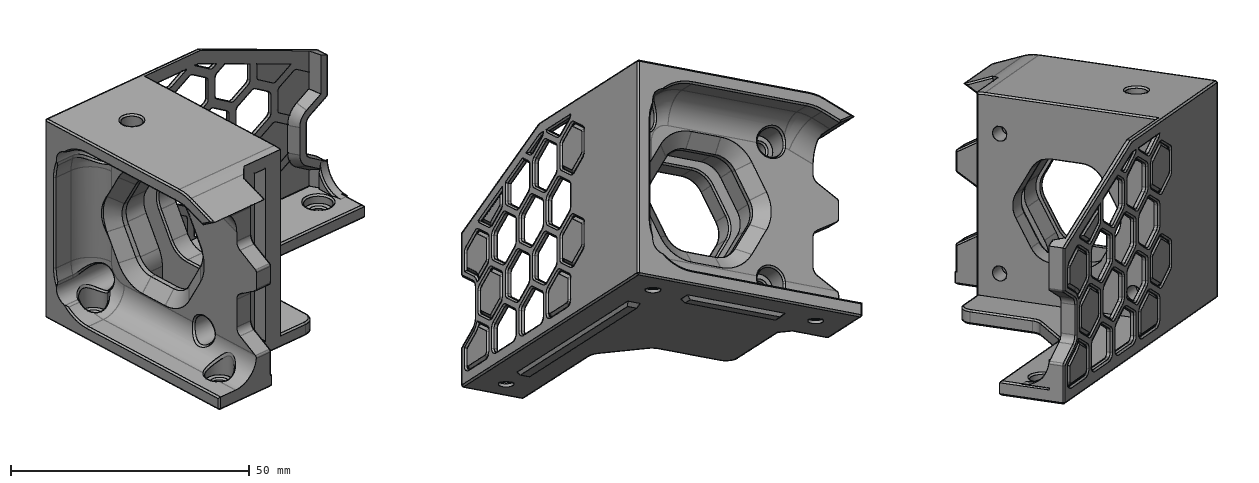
import cadquery as cq
import math

length_y = 77.8
width_x = 53.8
height = 48.15
edge_chamfer = 0.4

panel_thickness = 1.2
wall = 3.1
floor_thickness = 3.2
box_depth = 28.0

tooth_plate_back = 15.0
box_right = 43.0
floor_back = 37.8
leg_width = 15.0
plan_step = 2.1
plan_fillet = 3.0

pitch = 12.0
row_pitch = pitch * math.sqrt(3) / 2
hex_across_flats = 9.95
hex_corner_radius = 1.0
lowest_row_z = 6.5
row_z = [lowest_row_z + row * row_pitch for row in range(5)]
first_column_y = 28.9
column_y = [first_column_y + step * pitch / 2 for step in range(8)]
web = 3.0
notch_web = 1.6
insert_chamfer = 0.7
open_cells = [(0, 3), (0, 5), (1, 2), (1, 4), (2, 1), (2, 3), (2, 5), (3, 2), (3, 4), (4, 1), (4, 3)]
filled_cells = [(0, 1), (0, 7), (1, 0), (1, 6), (2, 7), (3, 0), (3, 6)]

notch_angle = math.radians(30)
notch_depth = 6.1
notch_half_height = 4.5
notch_mouth = notch_half_height + notch_depth * math.tan(notch_angle)
notch_fillet = 2.0
tooth_fillet = 0.6
lower_notch_z = row_z[1]
upper_notch_z = row_z[3]

cover_bend_x = 43.0
cover_bend_radius = 9.95
cover_tip_x = 52.0
cover_tip_z = 44.65
panel_bend_y = 43.65
panel_end_z = 34.7

pocket_depth = 10.65
pocket_corner_radius = 9.95
cove_radius = 6.0
pocket_top = height - wall

opening_x = 22.2
opening_z = 24.1
opening_apothem = 11.5
opening_corner_radius = 5.45
opening_taper = 3.1
opening_taper_depth = 2.5

lip_thickness = 1.2
recess_apothem = 12.3
recess_back = 20.2
chute_half_width = 7.6
chute_fillet = 7.8
slot_back = 23.35

screw_hole = 3.3
head_hole = 6.2
plate_hole_spacing = 31.0
plate_head_seat = 15.55
floor_head_seat = 1.1
floor_hole_inset = 7.5
front_hole_y = 7.0
rear_hole_y = 71.6
floor_holes = [
    (floor_hole_inset, front_hole_y),
    (width_x - floor_hole_inset, front_hole_y),
    (floor_hole_inset, rear_hole_y),
]
insert_hole = 4.7
insert_hole_depth = 6.2
insert_hole_x = 12.9
insert_hole_y = 13.0

rim_reach = 3.6
rim_width = 1.9
rim_draft = 27.0
end_cove_radius = 6.2
end_cove_width = 2.4

rib_height = 0.85
rib_width = 2.95
rib_draft = 0.4
rib_x_start, rib_x_end = 15.2, 38.5
rib_y_start, rib_y_end = 15.3, 64.1

near = 0.1
beyond = 15.55


def notch_points(edge, center_z, offset=0):
    """Corners of one notch in a vertical edge, from the bottom up, widened by an offset."""
    inner = edge - notch_depth - offset
    mouth = notch_mouth + offset / math.cos(notch_angle)
    half_height = mouth - (notch_depth + offset) * math.tan(notch_angle)
    return [
        (edge, center_z - mouth),
        (inner, center_z - half_height),
        (inner, center_z + half_height),
        (edge, center_z + mouth),
    ]


def corner_box(axis, position, z):
    """Selector for the edge along `axis` that passes through a corner."""
    far = 389
    if axis == "Y":
        return cq.selectors.BoxSelector((position - near, -far, z - near), (position + near, far, z + near))
    return cq.selectors.BoxSelector((-far, position - near, z - near), (far, position + near, z + near))


def plan_outline(thickness):
    """Floor outline with its stepped right side."""
    diagonal = (box_right - leg_width) / 3
    points = [
        (0, 0),
        (width_x, 0),
        (width_x, tooth_plate_back),
        (box_right + plan_step, tooth_plate_back),
        (box_right, tooth_plate_back + plan_step),
        (box_right, floor_back),
        (leg_width + diagonal, floor_back),
        (leg_width, floor_back + diagonal),
        (leg_width, length_y),
        (0, length_y),
    ]
    slab = cq.Workplane("XY").polyline(points).close().extrude(thickness)
    for x, y in points[5:8]:
        corner = cq.selectors.BoxSelector((x - near, y - near, -0.8), (x + near, y + near, thickness + 0.8))
        slab = slab.edges(corner).fillet(plan_fillet)
    return slab


def front_block():
    """Box at the front end, with notches in its right edge and a cover that bends down."""
    inner_x = width_x - notch_depth
    notch_top_z = cover_tip_z - (cover_tip_x - inner_x) * math.tan(notch_angle)
    notches = notch_points(width_x, lower_notch_z) + notch_points(width_x, upper_notch_z)[:2]
    notches.append((inner_x, notch_top_z))
    points = [(0, 0), (width_x, 0)] + notches
    points += [(cover_tip_x, cover_tip_z), (cover_bend_x, height), (0, height)]
    block = cq.Workplane("XZ").polyline(points).close().extrude(-box_depth)
    for x, z in notches:
        radius = notch_fillet if x == inner_x else tooth_fillet
        block = block.edges(corner_box("Y", x, z)).fillet(radius)
    block = block.edges(corner_box("Y", cover_bend_x, height)).fillet(cover_bend_radius)
    block = block.intersect(plan_outline(height)).faces(">Y").edges().chamfer(edge_chamfer)
    tooth_back = cq.selectors.BoxSelector(
        (box_right + plan_step + near, tooth_plate_back - near, floor_thickness),
        (width_x + 0.8, tooth_plate_back + near, height),
    )
    return block.edges(tooth_back).chamfer(edge_chamfer)


def side_panel():
    """Left wall as thick as the rim, with its notch but without its openings."""
    notch = notch_points(length_y, lower_notch_z)
    points = [(0, 0), (length_y, 0)] + notch
    points += [(length_y, panel_end_z), (panel_bend_y, height), (0, height)]
    panel = cq.Workplane("YZ").polyline(points).close().extrude(rim_reach)
    inner_y = length_y - notch_depth
    for y, z in notch:
        radius = notch_fillet if y == inner_y else tooth_fillet
        panel = panel.edges(corner_box("X", y, z)).fillet(radius)
    return panel


def rim_region():
    """Drafted space that the end rim leaves free inside the panel."""
    edge = length_y - rim_width
    notch = notch_points(length_y, lower_notch_z, rim_width)
    mouth_drop = rim_width * math.tan(notch_angle)
    notch[0] = (edge, notch[0][1] + mouth_drop)
    notch[3] = (edge, notch[3][1] - mouth_drop)
    depth = rim_reach - panel_thickness
    outline = (
        cq.Workplane("YZ", origin=(rim_reach, 0, 0))
        .polyline([(-beyond, -beyond), (edge, -beyond)] + notch + [(edge, height + beyond), (-beyond, height + beyond)])
        .close()
        .extrude(-depth)
    )
    for y, z in notch[1:3]:
        outline = outline.edges(corner_box("X", y, z)).fillet(notch_fillet + rim_width)
    return outline.faces(">X").wires().toPending().workplane(origin=(rim_reach, 0, 0)).extrude(
        -depth, combine=False, taper=rim_draft
    )


def end_cove():
    """Concave strip between the rim and the floor at the far end."""
    corner = cq.Workplane("XZ", origin=(0, length_y, 0)).moveTo(rim_reach, floor_thickness)
    return (
        corner.lineTo(rim_reach + end_cove_radius, floor_thickness)
        .radiusArc((rim_reach, floor_thickness + end_cove_radius), end_cove_radius)
        .close()
        .extrude(end_cove_width)
        .faces("<Y")
        .edges("%CIRCLE")
        .chamfer(edge_chamfer)
    )


def pocket_blank(grow, depth):
    """Prism with the pocket's front outline, open on the right."""
    right = width_x + 7.8
    slope = (height - cover_tip_z) / (cover_tip_x - cover_bend_x)
    left = wall - grow
    bottom = floor_thickness - grow
    top = pocket_top + grow
    bend_x = cover_bend_x - (height - top) * math.tan(math.atan(slope) / 2)
    end_z = top - (right - bend_x) * slope
    return (
        cq.Workplane("XZ")
        .polyline([(left, bottom), (right, bottom), (right, end_z), (bend_x, top), (left, top)])
        .close()
        .extrude(-depth)
        .edges("|Y and <X")
        .fillet(pocket_corner_radius + grow)
        .edges(corner_box("Y", bend_x, top))
        .fillet(cover_bend_radius)
    )


def front_pocket():
    """Pocket with a chamfered opening, coved where its walls meet the front plate."""
    walls = cq.selectors.BoxSelector((-0.8, -0.8, -0.8), (width_x + 7, length_y, height))
    pocket = pocket_blank(0, pocket_depth).faces(">Y").edges(walls).fillet(cove_radius)
    mouth = pocket_blank(edge_chamfer, 2 * edge_chamfer).faces(">Y").edges().chamfer(edge_chamfer)
    return pocket.union(mouth.translate((0, -edge_chamfer, 0)))


def hex_prism(apothem, corner_radius, start_y, end_y):
    """Hexagon with flats above and below, along Y, with rounded corners."""
    return (
        cq.Workplane("XZ", origin=(opening_x, start_y, opening_z))
        .polygon(6, 2 * apothem / math.cos(math.pi / 6))
        .extrude(start_y - end_y)
        .edges("|Y")
        .fillet(corner_radius)
    )


def recess():
    """Hexagon behind the lip that runs down into a chute to the floor."""
    front = pocket_depth + opening_taper_depth + lip_thickness
    half_side = recess_apothem * math.tan(math.pi / 6)
    side_x = 2 * half_side
    chute_top = -(side_x - chute_half_width) * math.tan(math.pi / 3)
    right = [
        (chute_half_width, floor_thickness - opening_z),
        (chute_half_width, chute_top),
        (side_x, 0),
        (half_side, recess_apothem),
    ]
    left = [(-x, z) for x, z in reversed(right)]
    shape = (
        cq.Workplane("XZ", origin=(opening_x, front, opening_z))
        .polyline(right + left)
        .close()
        .extrude(front - recess_back - edge_chamfer)
    )
    for x, z in right[1:] + left[:3]:
        radius = chute_fillet if z == chute_top else opening_corner_radius
        shape = shape.edges(corner_box("Y", opening_x + x, opening_z + z)).fillet(radius)
    return shape


def plate_opening():
    """Tapered hexagon through the front plate, the recess behind it and the rear plate."""
    seat = pocket_depth + opening_taper_depth
    mouth = hex_prism(opening_apothem + opening_taper, opening_corner_radius + opening_taper, wall, seat)
    mouth = mouth.faces(">Y").chamfer(opening_taper_depth, opening_taper)
    through = hex_prism(opening_apothem, opening_corner_radius, pocket_depth, box_depth)
    rear_mouth = hex_prism(
        opening_apothem + edge_chamfer,
        opening_corner_radius + edge_chamfer,
        recess_back,
        slot_back + edge_chamfer,
    )
    rear_mouth = rear_mouth.faces(">Y").edges().chamfer(edge_chamfer)
    return through.union(mouth).union(recess()).union(rear_mouth)


def rear_slot():
    """Slot between the front and rear plates, open on the right."""
    slot = cq.Workplane("XY").box(
        width_x, slot_back - recess_back, pocket_top - floor_thickness, centered=False
    )
    return slot.translate((wall, recess_back, floor_thickness))


def screw_cutter(head_length, hole_length, countersunk):
    """Counterbored hole along Z; the head seat is at z = 0, the head above it."""
    seat = cq.Workplane("XY").circle(head_hole / 2).extrude(head_length)
    cutter = seat.union(cq.Workplane("XY").circle(screw_hole / 2).extrude(-hole_length))
    if countersunk:
        countersink = cq.Workplane("XY").circle(screw_hole / 2 + edge_chamfer)
        cutter = cutter.union(countersink.extrude(-edge_chamfer, taper=45))
    return cutter


def cut_plate_holes(body):
    """Four counterbored holes through both plates, their mouths chamfered."""
    half = plate_hole_spacing / 2
    reach = head_hole / 2 + near
    for x in (opening_x - half, opening_x + half):
        for z in (opening_z - half, opening_z + half):
            countersunk = x > opening_x or z > opening_z
            cutter = screw_cutter(plate_head_seat, box_depth, countersunk).rotate((0, 0, 0), (1, 0, 0), 90)
            body = body.cut(cutter.translate((x, plate_head_seat, z)))
            mouth = cq.selectors.BoxSelector(
                (x - reach, 0.8, z - reach), (x + reach, pocket_depth + near, z + reach), boundingbox=True
            )
            body = body.edges(mouth).chamfer(edge_chamfer)
    return body


def cut_floor_holes(body):
    """Counterbored holes down through the floor, their mouths chamfered."""
    reach = head_hole / 2 + near
    cutter = screw_cutter(pocket_corner_radius, floor_thickness, True)
    for x, y in floor_holes:
        body = body.cut(cutter.translate((x, y, floor_head_seat)))
        mouth = cq.selectors.BoxSelector(
            (x - reach, y - reach, floor_head_seat + 0.8), (x + reach, y + reach, 11.7), boundingbox=True
        )
        body = body.edges(mouth).chamfer(edge_chamfer)
    return body


def cut_insert_hole(body):
    """Blind chamfered hole in the top cover."""
    seat = cq.Workplane("XY", origin=(insert_hole_x, insert_hole_y, height))
    body = body.cut(seat.circle(insert_hole / 2).extrude(-insert_hole_depth))
    return body.cut(seat.circle(insert_hole / 2 + edge_chamfer).extrude(-edge_chamfer, taper=45))


def cell_blank(row, column, grow, depth):
    """Rounded hexagonal cell along X, cut flat above the floor in the lowest row."""
    center = (0, column_y[column], row_z[row])
    across_flats = hex_across_flats + 2 * grow
    blank = (
        cq.Workplane("YZ", origin=center)
        .transformed(rotate=(0, 0, 30))
        .polygon(6, across_flats / math.cos(math.pi / 6))
        .extrude(depth)
    )
    if row == 0:
        below = cq.Workplane("YZ", origin=(0, center[1], web - grow)).rect(2 * pitch, 2 * web).extrude(depth)
        blank = blank.cut(below.translate((0, 0, -web)))
    return blank.edges("|X").fillet(hex_corner_radius + grow)


def trim_zone(grow, depth):
    """Region of the panel that lies a web's width inside its top edges and its notch."""
    slope = (height - panel_end_z) / (length_y - panel_bend_y)
    web_left = web - grow
    bend_y = panel_bend_y - web_left * math.tan(math.atan(slope) / 2)
    top = height - web_left
    end_z = top - (length_y - bend_y) * slope
    notch_offset = notch_web - grow
    notch = notch_points(length_y, lower_notch_z, notch_offset)
    zone = (
        cq.Workplane("YZ")
        .polyline([(0, -pitch), (length_y, -pitch)] + notch + [(length_y, end_z), (bend_y, top), (0, top)])
        .close()
        .extrude(depth)
    )
    for y, z in notch[1:3]:
        zone = zone.edges(corner_box("X", y, z)).fillet(notch_fillet + notch_offset)
    return zone


def cell_opening(row, column):
    """Cutter for one cell, with a chamfered mouth on the outer face."""
    straight = cell_blank(row, column, 0, panel_thickness).intersect(trim_zone(0, panel_thickness))
    flare = 2 * edge_chamfer
    mouth = cell_blank(row, column, edge_chamfer, flare).faces(">X").edges().chamfer(edge_chamfer)
    mouth_zone = trim_zone(edge_chamfer, flare).faces(">X").edges().chamfer(edge_chamfer)
    return straight.union(mouth.intersect(mouth_zone).translate((-edge_chamfer, 0, 0)))


def panel_insert(row, column):
    """Piece that fills one cell flush with the outer face, its outer edge chamfered."""
    blank = cell_blank(row, column, 0, panel_thickness).faces("<X").edges().chamfer(insert_chamfer)
    zone = trim_zone(0, panel_thickness).faces("<X").edges().chamfer(insert_chamfer)
    return blank.intersect(zone)


def rib(start, end):
    """Rib under the floor along X, drafted on all sides."""
    span = end - start
    return (
        cq.Workplane("XY", origin=((start + end) / 2, floor_hole_inset, 0))
        .rect(span, rib_width)
        .workplane(offset=-rib_height)
        .rect(span - 2 * rib_height, rib_width - 2 * rib_draft)
        .loft()
    )


def build_housing():
    """Box, floor and honeycomb panel as one solid."""
    rim = side_panel().cut(rim_region())
    floor = plan_outline(floor_thickness).faces(">Z").edges().chamfer(edge_chamfer)
    body = front_block().union(floor).union(rim).union(end_cove())
    body = body.faces("<X or <Y or <Z").edges().chamfer(edge_chamfer)
    body = body.cut(front_pocket())
    body = body.cut(rear_slot()).cut(plate_opening())
    body = cut_plate_holes(body)
    body = cut_floor_holes(body)
    body = cut_insert_hole(body)
    for row, column in open_cells + filled_cells:
        body = body.cut(cell_opening(row, column))
    along_x = rib(rib_x_start, rib_x_end)
    along_y = rib(rib_y_start, rib_y_end).mirror("XZ").rotate((0, 0, 0), (0, 0, 1), 90)
    return body.union(along_x).union(along_y)


housing = build_housing()
panel_inserts = [panel_insert(row, column) for row, column in filled_cells]
result = cq.Compound.makeCompound([housing.val()] + [piece.val() for piece in panel_inserts])